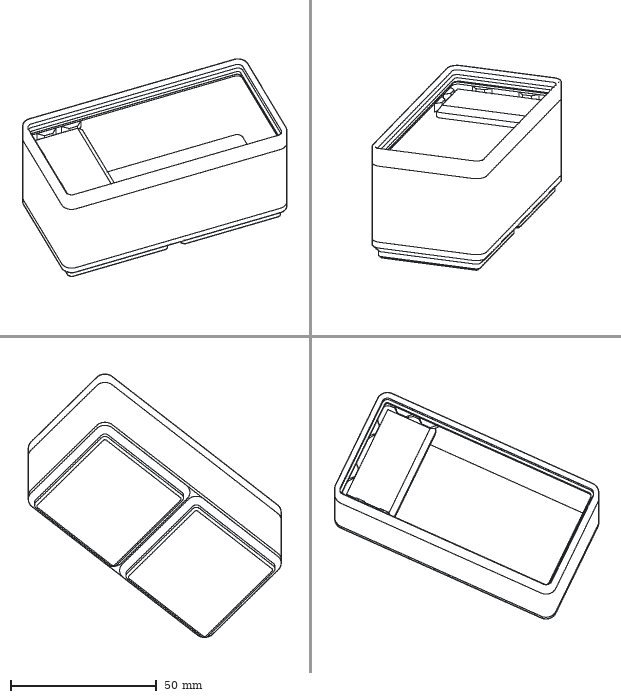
import cadquery as cq

LENGTH = 83.5
WIDTH = 41.5
CORNER_RADIUS = 3.75
FLOOR_TOP = 6.9
WALL_TOP = 35.0
WALL_THICKNESS = 2.0
CAVITY_RADIUS = 2.2
CAVITY_WIDTH = WIDTH - 2 * WALL_THICKNESS
CAVITY_LENGTH = LENGTH - 2 * WALL_THICKNESS

SLOPE_ANGLE = 45

FOOT_SIZE = WIDTH
FOOT_SPACING = LENGTH - FOOT_SIZE
FOOT_LOWER_CHAMFER = 0.8
FOOT_STRAIGHT = 1.75
FOOT_UPPER_CHAMFER = 2.2
FOOT_HEIGHT = FOOT_LOWER_CHAMFER + FOOT_STRAIGHT + FOOT_UPPER_CHAMFER

LIP_UPPER_SLOPE = 1.8
LIP_STRAIGHT = 1.75
LIP_LOWER_SLOPE = 0.8
LIP_THROAT = 1.2
LIP_WIDTH = LIP_UPPER_SLOPE + LIP_LOWER_SLOPE
LIP_OVERHANG = LIP_WIDTH - WALL_THICKNESS
LIP_BASE_HEIGHT = 1.4
LIP_THROAT_BOTTOM = WALL_TOP + LIP_BASE_HEIGHT
LIP_EDGE_RADIUS = 0.5

SHELF_DEPTH = 20.0
SHELF_CHAMFER = 2.0
SHELF_TOP = 34.0
SHELF_THICKNESS = 2 * SHELF_CHAMFER
SHELF_FRONT = -CAVITY_LENGTH / 2
SHELF_BACK = SHELF_FRONT + SHELF_DEPTH

RIBS_PER_SIDE = 2
RIB_WIDTH = 3.2
RIB_PITCH_SIDE = 9.2
RIB_PITCH_FRONT = 17.0
RIB_FIRST_SIDE_Y = SHELF_BACK - SHELF_CHAMFER - RIB_WIDTH / 2


def prism(size_x, size_y, radius, bottom, height, taper=0):
    """Rounded rectangular prism centred on the Z axis; a positive taper narrows it upwards."""
    plan = cq.Sketch().rect(size_x, size_y).vertices().fillet(radius)
    return cq.Workplane("XY").workplane(offset=bottom).placeSketch(plan).extrude(height, taper=taper)


def bin_prism(inset, bottom, height, taper=0):
    """Prism that follows the bin outline at a constant inset."""
    return prism(
        WIDTH - 2 * inset, LENGTH - 2 * inset, CORNER_RADIUS - inset, bottom, height, taper
    )


def cavity_prism(bottom, height, taper=0):
    """Prism with the outline of the storage cavity."""
    return prism(CAVITY_WIDTH, CAVITY_LENGTH, CAVITY_RADIUS, bottom, height, taper)


def make_foot(center_y):
    """Square foot with a chamfered lower edge and a wider chamfer up to the bin outline."""

    def step(inset, bottom, height, taper=0):
        size = FOOT_SIZE - 2 * inset
        return prism(size, size, CORNER_RADIUS - inset, bottom, height, taper)

    upper_bottom = FOOT_LOWER_CHAMFER + FOOT_STRAIGHT
    foot = (
        step(FOOT_UPPER_CHAMFER + FOOT_LOWER_CHAMFER, 0, FOOT_LOWER_CHAMFER, -SLOPE_ANGLE)
        .union(step(FOOT_UPPER_CHAMFER, FOOT_LOWER_CHAMFER, FOOT_STRAIGHT))
        .union(step(FOOT_UPPER_CHAMFER, upper_bottom, FOOT_UPPER_CHAMFER, -SLOPE_ANGLE))
    )
    return foot.translate((0, center_y, 0))


def make_floor():
    """Plain slab that joins the feet."""
    return bin_prism(0, FOOT_HEIGHT, FLOOR_TOP - FOOT_HEIGHT)


def make_wall():
    """Straight wall around the storage cavity."""
    height = WALL_TOP - FLOOR_TOP
    return bin_prism(0, FLOOR_TOP, height).cut(cavity_prism(FLOOR_TOP, height))


def make_lip():
    """Stacking lip: sloped underside inside, socket above it, and a rounded top edge."""
    lower_slope_bottom = LIP_THROAT_BOTTOM + LIP_THROAT
    straight_bottom = lower_slope_bottom + LIP_LOWER_SLOPE
    upper_slope_bottom = straight_bottom + LIP_STRAIGHT
    knife_edge = upper_slope_bottom + LIP_UPPER_SLOPE
    undercut = LIP_THROAT_BOTTOM - LIP_OVERHANG
    return (
        bin_prism(0, WALL_TOP, knife_edge - WALL_TOP)
        .cut(cavity_prism(WALL_TOP, undercut - WALL_TOP))
        .cut(cavity_prism(undercut, LIP_OVERHANG, SLOPE_ANGLE))
        .cut(bin_prism(LIP_WIDTH, WALL_TOP, lower_slope_bottom - WALL_TOP))
        .cut(bin_prism(LIP_WIDTH, lower_slope_bottom, LIP_LOWER_SLOPE, -SLOPE_ANGLE))
        .cut(bin_prism(LIP_UPPER_SLOPE, straight_bottom, LIP_STRAIGHT))
        .cut(bin_prism(LIP_UPPER_SLOPE, upper_slope_bottom, LIP_UPPER_SLOPE, -SLOPE_ANGLE))
        .edges(">Z")
        .fillet(LIP_EDGE_RADIUS)
    )


def make_rib():
    """Rib along +X from the shelf's flat top to the wall, widening at 45 degrees, at the origin."""
    bottom = SHELF_TOP - SHELF_CHAMFER
    half = RIB_WIDTH / 2
    wide = half + SHELF_CHAMFER
    return (
        cq.Workplane("XY")
        .workplane(offset=bottom)
        .polyline([(0, -half), (SHELF_CHAMFER, -wide), (SHELF_CHAMFER, wide), (0, half)])
        .close()
        .extrude(WALL_TOP - bottom)
    )


def make_shelf():
    """Chamfered plate with two ribs on each side and two on its -Y edge."""
    center_y = (SHELF_FRONT + SHELF_BACK) / 2
    shelf = (
        prism(CAVITY_WIDTH, SHELF_DEPTH, CAVITY_RADIUS, SHELF_TOP - SHELF_THICKNESS, SHELF_THICKNESS)
        .faces(">Z")
        .chamfer(SHELF_CHAMFER)
        .translate((0, center_y, 0))
    )
    flat_x = CAVITY_WIDTH / 2 - SHELF_CHAMFER
    flat_front = SHELF_FRONT + SHELF_CHAMFER
    origin = (0, 0, 0)
    up = (0, 0, 1)
    for side, turn in ((1, 0), (-1, 180)):
        for index in range(RIBS_PER_SIDE):
            y = RIB_FIRST_SIDE_Y - index * RIB_PITCH_SIDE
            shelf = shelf.union(make_rib().rotate(origin, up, turn).translate((side * flat_x, y, 0)))
        x = side * RIB_PITCH_FRONT / 2
        shelf = shelf.union(make_rib().rotate(origin, up, -90).translate((x, flat_front, 0)))
    return shelf


feet = [make_foot(side * FOOT_SPACING / 2) for side in (-1, 1)]
base_floor = make_floor()
wall = make_wall()
lip = make_lip()
shelf = make_shelf()

result = cq.Compound.makeCompound(
    [*[foot.val() for foot in feet], base_floor.val(), wall.val(), lip.val(), shelf.val()]
)